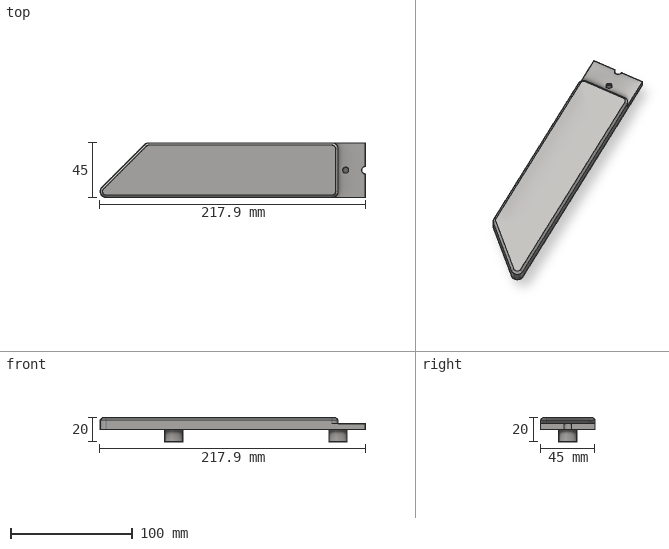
import cadquery as cq

sharp_length = 225.0
width = 45.0
plate_thickness = 10.0
corner_radius = 5.0
top_chamfer = 2.0
slant_run = width
half_width = width / 2

tab_length = half_width
tab_thickness = plate_thickness / 2
body_length = sharp_length - tab_length

tab_hole_diameter = 5.0
tab_hole_depth = 3.0
tab_hole_from_end = 16.25
notch_diameter = 6.0

peg_diameter = 15.0
peg_length = 10.0
peg_from_end = half_width
peg_spacing = 135.0


def centerline_cylinder(center_x, diameter, bottom_z, height):
    """Upright cylinder standing on the centerline of the part."""
    return (
        cq.Workplane("XY", origin=(center_x, 0, bottom_z))
        .circle(diameter / 2)
        .extrude(height)
    )


def make_body():
    """Full-thickness plate with one slanted end, rounded corners and a chamfered top rim."""
    outline = [
        (0, -half_width),
        (body_length, -half_width),
        (body_length, half_width),
        (slant_run, half_width),
    ]
    body = cq.Workplane("XY").polyline(outline).close().extrude(plate_thickness)
    body = body.edges("|Z").fillet(corner_radius)
    return body.faces(">Z").edges().chamfer(top_chamfer)


def make_tab():
    """Thin tab with its hole and notch; it runs back to fill below the body's rounded corners."""
    tab_start = body_length - corner_radius
    tab = cq.Workplane("XY", origin=(tab_start, 0, 0)).box(
        sharp_length - tab_start, width, tab_thickness, centered=(False, True, False)
    )
    hole = centerline_cylinder(
        sharp_length - tab_hole_from_end,
        tab_hole_diameter,
        tab_thickness - tab_hole_depth,
        tab_hole_depth,
    )
    notch = centerline_cylinder(sharp_length, notch_diameter, 0, tab_thickness)
    return tab.cut(hole).cut(notch)


def make_peg(distance_from_end):
    """Round peg hanging below the plate."""
    return centerline_cylinder(sharp_length - distance_from_end, peg_diameter, -peg_length, peg_length)


result = make_body().union(make_tab())
for peg_distance in (peg_from_end, peg_from_end + peg_spacing):
    result = result.union(make_peg(peg_distance))